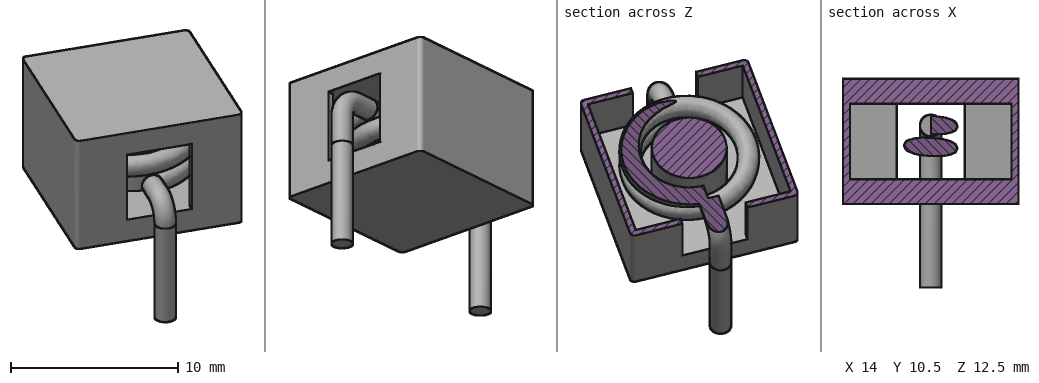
import cadquery as cq

core_side = 10.5
core_height = 7.5
core_bottom = 5.0
corner_radius = 0.3
plate_thickness = 1.5
wall_thickness = 0.42
window_width = 4.06
post_diameter = 4.5

cavity_side = core_side - 2 * wall_thickness
cavity_height = core_height - 2 * plate_thickness
cavity_bottom = core_bottom + plate_thickness

overall_length = 14.0
wire_diameter = 1.3
coil_turns = 1.5
coil_pitch = 1.32
coil_radius = 3.54

wire_radius = wire_diameter / 2
bend_radius = wire_diameter
coil_height = coil_turns * coil_pitch
coil_middle = core_bottom + core_height / 2
coil_bottom = coil_middle - coil_height / 2
end_start = coil_radius + wire_radius / 2

pin_length = cavity_bottom
pin_position = (overall_length - wire_diameter) / 2

lower_end_height = pin_length + bend_radius
upper_end_height = 2 * coil_middle - lower_end_height


def cavity_level():
    """Horizontal plane at the cavity floor."""
    return cq.Workplane("XY", origin=(0, 0, cavity_bottom))


def make_core():
    box = (
        cq.Workplane("XY", origin=(0, 0, core_bottom))
        .rect(core_side, core_side)
        .extrude(core_height)
        .edges("|Z")
        .fillet(corner_radius)
    )
    cavity = cavity_level().rect(cavity_side, cavity_side).extrude(cavity_height)
    windows = cavity_level().rect(core_side, window_width).extrude(cavity_height)
    post = cavity_level().circle(post_diameter / 2).extrude(cavity_height)
    return box.cut(cavity).cut(windows).union(post)


def make_coil():
    """Right-handed helix that rises from the +X side to the -X side."""
    helix = cq.Wire.makeHelix(coil_pitch, coil_height, coil_radius, center=cq.Vector(0, 0, coil_bottom))
    return (
        cq.Workplane("XZ", origin=(coil_radius, 0, coil_bottom))
        .circle(wire_radius)
        .sweep(cq.Workplane(helix), isFrenet=True)
    )


def make_coil_end(side, height):
    """Wire from the coil out through the window on one side (-1 or 1) and down to its pin."""
    bend_bottom = height - bend_radius
    path = (
        cq.Workplane("XZ")
        .moveTo(side * end_start, height)
        .lineTo(side * (pin_position - bend_radius), height)
        .tangentArcPoint((side * pin_position, bend_bottom), relative=False)
    )
    if height > lower_end_height:
        path = path.lineTo(side * pin_position, pin_length)
    return (
        cq.Workplane("YZ", origin=(side * end_start, 0, height))
        .circle(wire_radius)
        .sweep(path)
    )


def make_winding():
    upper_end = make_coil_end(-1, upper_end_height)
    lower_end = make_coil_end(1, lower_end_height)
    return make_coil().union(upper_end).union(lower_end)


def make_pin(side):
    return cq.Workplane("XY").center(side * pin_position, 0).circle(wire_radius).extrude(pin_length)


core = make_core()
winding = make_winding()
pins = [make_pin(side) for side in (-1, 1)]

result = cq.Compound.makeCompound([core.val(), winding.val(), *[pin.val() for pin in pins]])